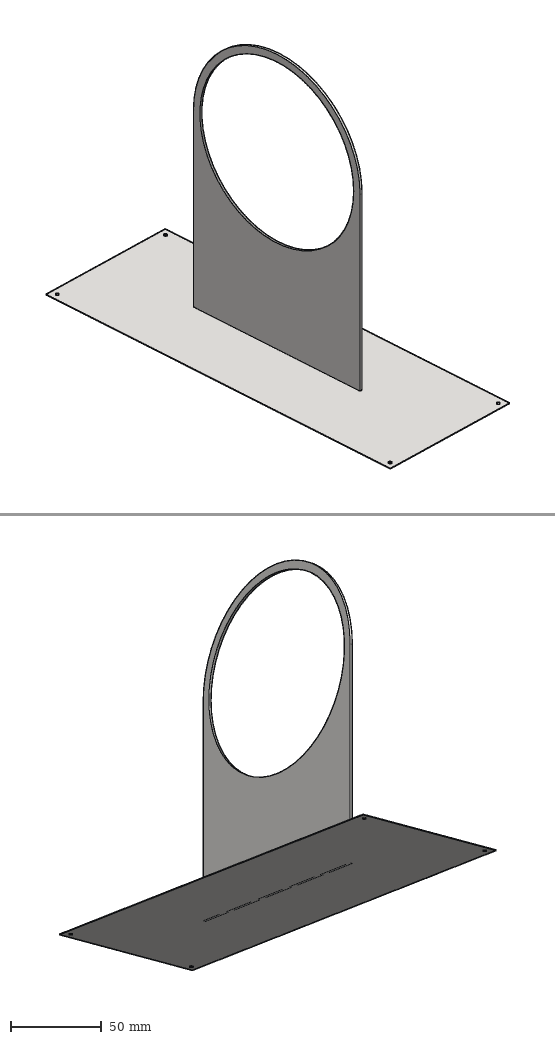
import cadquery as cq

base_length = 263.5
base_width = 95.0
base_thickness = 0.5

mount_hole_diameter = 2.2
mount_hole_inset = 4.5

total_height = 191.8
panel_width = 127.5
panel_thickness = 1.69
window_diameter = 117.5

panel_radius = panel_width / 2
window_height = total_height - panel_radius


def make_base():
    """Flat plate with a through hole near each corner."""
    hole_spacing_x = base_length - 2 * mount_hole_inset
    hole_spacing_y = base_width - 2 * mount_hole_inset
    return (
        cq.Workplane("XY")
        .rect(base_length, base_width)
        .extrude(base_thickness)
        .faces(">Z")
        .workplane()
        .rect(hole_spacing_x, hole_spacing_y, forConstruction=True)
        .vertices()
        .hole(mount_hole_diameter)
    )


def make_panel():
    """Upright panel across the middle of the base, with its round window."""
    outline = (
        cq.Workplane("XZ")
        .moveTo(-panel_radius, 0)
        .lineTo(panel_radius, 0)
        .lineTo(panel_radius, window_height)
        .threePointArc((0, total_height), (-panel_radius, window_height))
        .close()
        .extrude(panel_thickness / 2, both=True)
    )
    window = (
        cq.Workplane("XZ")
        .center(0, window_height)
        .circle(window_diameter / 2)
        .extrude(panel_thickness, both=True)
    )
    return outline.cut(window)


result = make_base().union(make_panel())